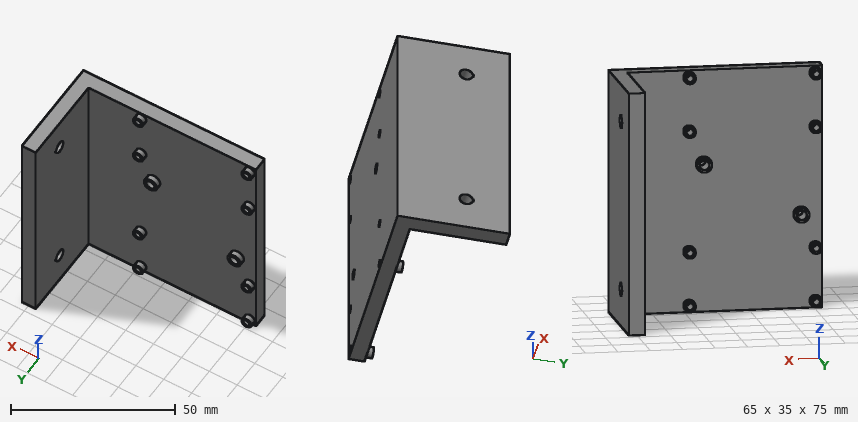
import cadquery as cq
import math

plate_width = 65.0
flange_reach = 35.0
height = 75.0
thickness = 5.0
mid_height = height / 2

stud_length = 2.0
small_stud_diameter = 3.5
small_bore_diameter = 2.2
large_stud_diameter = 4.6
large_bore_diameter = 3.0

small_column_left = 2.15
small_column_spacing = 38.9
stud_row_spacing = 16.65
inner_row_offset = 18.7
outer_row_offset = inner_row_offset + stud_row_spacing

large_stud_left = 6.6
large_stud_spacing = 30.0
large_row_offset = stud_row_spacing / 2

flange_hole_diameter = 4.0
flange_hole_y = 21.35
flange_hole_spacing = 52.0
teardrop_tip_reach = 2.4


def make_bracket():
    """L-shaped profile extruded over the full height."""
    profile = [
        (0, 0),
        (plate_width, 0),
        (plate_width, flange_reach),
        (plate_width - thickness, flange_reach),
        (plate_width - thickness, thickness),
        (0, thickness),
    ]
    return cq.Workplane("XY").polyline(profile).close().extrude(height)


def cylinder_along_y(x, z, diameter, start, end):
    """Cylinder parallel to Y between two Y positions."""
    return cq.Workplane("XY").add(
        cq.Solid.makeCylinder(diameter / 2, end - start, cq.Vector(x, start, z), cq.Vector(0, 1, 0))
    )


def add_hollow_studs(body, centers, stud_diameter, bore_diameter):
    """Add studs behind the front plate, bored through stud and plate."""
    stud_end = thickness + stud_length
    for x, z in centers:
        body = body.union(cylinder_along_y(x, z, stud_diameter, 0, stud_end))
        body = body.cut(cylinder_along_y(x, z, bore_diameter, 0, stud_end))
    return body


def cut_flange_holes(body):
    """Cut two teardrop holes through the side flange along X, points toward +Y."""
    radius = flange_hole_diameter / 2
    contact_angle = math.acos(radius / teardrop_tip_reach)
    tangent_y = radius * math.cos(contact_angle)
    tangent_z = radius * math.sin(contact_angle)
    for side in (-1, 1):
        hole_z = mid_height + side * flange_hole_spacing / 2
        hole = (
            cq.Workplane("YZ", origin=(plate_width - thickness, flange_hole_y, hole_z))
            .moveTo(tangent_y, tangent_z)
            .threePointArc((-radius, 0), (tangent_y, -tangent_z))
            .lineTo(teardrop_tip_reach, 0)
            .close()
            .extrude(thickness)
        )
        body = body.cut(hole)
    return body


small_centers = [
    (x, mid_height + side * offset)
    for x in (small_column_left, small_column_left + small_column_spacing)
    for side in (-1, 1)
    for offset in (inner_row_offset, outer_row_offset)
]
large_centers = [
    (large_stud_left, mid_height - large_row_offset),
    (large_stud_left + large_stud_spacing, mid_height + large_row_offset),
]

result = make_bracket()
result = add_hollow_studs(result, small_centers, small_stud_diameter, small_bore_diameter)
result = add_hollow_studs(result, large_centers, large_stud_diameter, large_bore_diameter)
result = cut_flange_holes(result)